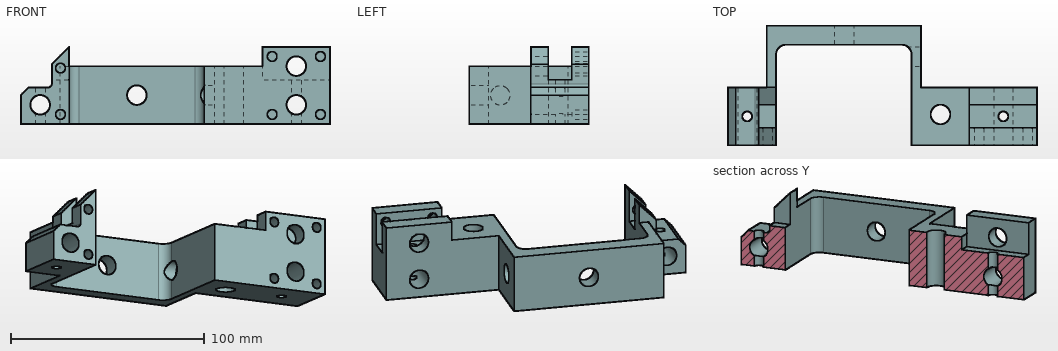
import cadquery as cq

LENGTH = 160.0
DEPTH = 62.0
HEIGHT = 40.0
BODY_HEIGHT = 30.0
ARM_DEPTH = 30.0

BRIDGE_LEFT = 20.0
BRIDGE_RIGHT = 100.0
SIDE_WALL = 5.0
BACK_WALL = 10.0
BRIDGE_CORNER_RADIUS = 5.0
BAY_LEFT = BRIDGE_LEFT + SIDE_WALL
BAY_RIGHT = BRIDGE_RIGHT - SIDE_WALL
BAY_BACK = DEPTH - BACK_WALL

STEP_HEIGHT = 19.0
STEP_CHAMFER = 4.0
STEP_FILLET = 2.0
FORK_THICKNESS = 9.0

CLEVIS_LEFT = 125.0

SLOT_WIDTH = 12.0
SLOT_FRONT = (ARM_DEPTH - SLOT_WIDTH) / 2
SLOT_FLOOR = 23.0

MAIN_DIAMETER = 10.0
SMALL_DIAMETER = 5.0
DOWEL_DEPTH = SLOT_FRONT
EDGE_OFFSET = 5.0
STEP_HOLE_X = 10.0
STEP_HOLE_Z = 10.0
LEFT_UPPER_DOWEL_Z = 29.0
BLOCK_HOLE_X = 110.0
BLOCK_HOLE_Y = 16.0
CLEVIS_HOLE_X = (CLEVIS_LEFT + LENGTH) / 2
CLEVIS_HOLE_ZS = (10.0, 30.0)
BRIDGE_HOLE_X = (BRIDGE_LEFT + BRIDGE_RIGHT) / 2
BRIDGE_HOLE_Z = BODY_HEIGHT / 2
WALL_HOLE_Y = (ARM_DEPTH + DEPTH) / 2


def box(x0, x1, y0, y1, z0, z1):
    """Box between two opposite corners."""
    return cq.Workplane("XY").box(x1 - x0, y1 - y0, z1 - z0, centered=False).translate((x0, y0, z0))


def hole_along_y(x, z, diameter, depth):
    """Cylinder entering from the front face at Y = 0."""
    return cq.Workplane("XZ").center(x, z).circle(diameter / 2).extrude(-depth)


def hole_along_z(x, y, diameter):
    """Vertical cylinder through the full height."""
    return cq.Workplane("XY").center(x, y).circle(diameter / 2).extrude(HEIGHT)


def make_bridge():
    """U-shaped wall with rounded inner back corners; its legs reach the front face."""
    outer = box(BRIDGE_LEFT, BRIDGE_RIGHT, 0, DEPTH, 0, BODY_HEIGHT)
    bay = box(BAY_LEFT, BAY_RIGHT, 0, BAY_BACK, 0, BODY_HEIGHT)
    return outer.cut(bay.edges("|Z and >Y").fillet(BRIDGE_CORNER_RADIUS))


def make_left_block():
    """Stepped block with a chamfered outer edge and a 45-degree point."""
    fork_left = BAY_LEFT - FORK_THICKNESS
    return (
        cq.Workplane("XZ")
        .moveTo(0, 0)
        .lineTo(BAY_LEFT, 0)
        .lineTo(BAY_LEFT, HEIGHT)
        .lineTo(fork_left, HEIGHT - FORK_THICKNESS)
        .lineTo(fork_left, STEP_HEIGHT + STEP_FILLET)
        .radiusArc((fork_left - STEP_FILLET, STEP_HEIGHT), STEP_FILLET)
        .lineTo(STEP_CHAMFER, STEP_HEIGHT)
        .lineTo(0, STEP_HEIGHT - STEP_CHAMFER)
        .close()
        .extrude(-ARM_DEPTH)
    )


def make_right_block():
    """Flat block rising to a tall clevis at its outer end."""
    base = box(BAY_RIGHT, LENGTH, 0, ARM_DEPTH, 0, BODY_HEIGHT)
    clevis = box(CLEVIS_LEFT, LENGTH, 0, ARM_DEPTH, 0, HEIGHT)
    return base.union(clevis)


def cut_slots(body):
    """Slot both forks along X to a common floor."""
    slot_back = SLOT_FRONT + SLOT_WIDTH
    for x0, x1 in ((0, BAY_LEFT), (CLEVIS_LEFT, LENGTH)):
        body = body.cut(box(x0, x1, SLOT_FRONT, slot_back, SLOT_FLOOR, HEIGHT))
    return body


def cut_main_holes(body):
    """Large through holes along Y and Z."""
    places = [(STEP_HOLE_X, STEP_HOLE_Z), (BRIDGE_HOLE_X, BRIDGE_HOLE_Z)]
    places += [(CLEVIS_HOLE_X, z) for z in CLEVIS_HOLE_ZS]
    for x, z in places:
        body = body.cut(hole_along_y(x, z, MAIN_DIAMETER, DEPTH))
    return body.cut(hole_along_z(BLOCK_HOLE_X, BLOCK_HOLE_Y, MAIN_DIAMETER))


def cut_small_vertical_holes(body):
    """Small through holes on the centreline of each end block."""
    for x in (STEP_HOLE_X, CLEVIS_HOLE_X):
        body = body.cut(hole_along_z(x, ARM_DEPTH / 2, SMALL_DIAMETER))
    return body


def cut_dowel_holes(body):
    """Small holes in the front face of both end blocks, as deep as the front cheek of each fork."""
    left_x = BAY_LEFT - FORK_THICKNESS / 2
    places = [(left_x, EDGE_OFFSET), (left_x, LEFT_UPPER_DOWEL_Z)]
    for x in (CLEVIS_LEFT + EDGE_OFFSET, LENGTH - EDGE_OFFSET):
        places += [(x, EDGE_OFFSET), (x, HEIGHT - EDGE_OFFSET)]
    for x, z in places:
        body = body.cut(hole_along_y(x, z, SMALL_DIAMETER, DOWEL_DEPTH))
    return body


def cut_wall_hole(body):
    """Hole along X through the right bridge wall, running into the rounded corner."""
    start = BAY_RIGHT - BRIDGE_CORNER_RADIUS
    cutter = (
        cq.Workplane("YZ", origin=(start, WALL_HOLE_Y, BRIDGE_HOLE_Z))
        .circle(MAIN_DIAMETER / 2)
        .extrude(BRIDGE_RIGHT - start)
    )
    return body.cut(cutter)


body = make_bridge().union(make_left_block()).union(make_right_block())
body = cut_slots(body)
body = cut_main_holes(body)
body = cut_small_vertical_holes(body)
body = cut_dowel_holes(body)
result = cut_wall_hole(body)